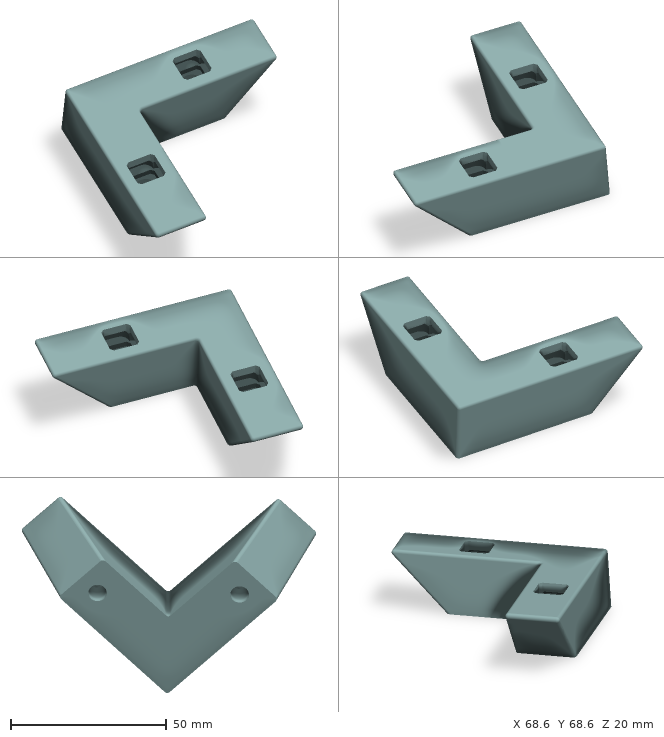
import cadquery as cq
import math

overall_length = 68.6
height = 20.0
leg_width = 19.95
wall_lean = 1.0
end_angle = 45
edge_radius = 1.0

hole_distance = 42.3
hole_diameter = 6.0
countersink_diameter = 8.0

pocket_size = 10.0
pocket_depth = 10.0
pocket_corner_chamfer = 1.0

undercut_top = 3.0
undercut_bottom = 8.0
cross_width = pocket_size
cross_corner_radius = 3.0
cross_length = cross_width + 2 * cross_corner_radius
ceiling_chamfer = 1.5

tip_loss = edge_radius * (1 / math.tan(math.radians(end_angle / 2)) - 1)
sharp_length = overall_length + tip_loss
bottom_length = sharp_length - height / math.tan(math.radians(end_angle))


def corner_outline(inset):
    """Return the L outline, longer than the finished legs, with its long walls moved inward."""
    stock_length = sharp_length + leg_width
    outer = inset
    inner = leg_width - inset
    return [
        (outer, outer),
        (stock_length, outer),
        (stock_length, inner),
        (inner, inner),
        (inner, stock_length),
        (outer, stock_length),
    ]


def leaning_corner():
    """Return the L stock whose long walls lean inward toward the top."""
    return (
        cq.Workplane("XY")
        .polyline(corner_outline(0))
        .close()
        .workplane(offset=height)
        .polyline(corner_outline(wall_lean))
        .close()
        .loft(ruled=True)
    )


def end_limit(plane):
    """Return a wide block that ends in the sloped overhang of one leg."""
    profile = [(0, 0), (bottom_length, 0), (sharp_length, height), (0, height)]
    return cq.Workplane(plane).polyline(profile).close().extrude(sharp_length, both=True)


def square_pocket(x, y):
    """Return the square pocket with chamfered corners."""
    return (
        cq.Workplane("XY", origin=(x, y, height - pocket_depth))
        .rect(pocket_size, pocket_size)
        .extrude(pocket_depth)
        .edges("|Z")
        .chamfer(pocket_corner_chamfer)
    )


def cross_undercut(x, y):
    """Return the cross with rounded arms that undercuts the pocket walls."""
    cross = cq.Workplane("XY")
    for size_x, size_y in [(cross_length, cross_width), (cross_width, cross_length)]:
        arm = (
            cq.Workplane("XY", origin=(x, y, height - undercut_bottom))
            .rect(size_x, size_y)
            .extrude(undercut_bottom - undercut_top)
            .edges("|Z")
            .fillet(cross_corner_radius)
            .faces(">Z")
            .chamfer(ceiling_chamfer)
        )
        cross = cross.union(arm)
    return cross


def countersunk_hole(x, y):
    """Return the hole from the pocket floor through the bottom, with a 45 degree countersink."""
    pocket_floor = height - pocket_depth
    countersink_depth = (countersink_diameter - hole_diameter) / 2
    hole = cq.Workplane("XY", origin=(x, y, 0)).circle(hole_diameter / 2).extrude(pocket_floor)
    countersink = (
        cq.Workplane("XY", origin=(x, y, pocket_floor - countersink_depth))
        .circle(hole_diameter / 2)
        .workplane(offset=countersink_depth)
        .circle(countersink_diameter / 2)
        .loft()
    )
    return hole.union(countersink)


bracket = leaning_corner().intersect(end_limit("XZ")).intersect(end_limit("YZ"))

bracket = bracket.edges("not(<Z)").fillet(edge_radius)

leg_middle = leg_width / 2
for x, y in [(hole_distance, leg_middle), (leg_middle, hole_distance)]:
    bracket = bracket.cut(square_pocket(x, y))
    bracket = bracket.cut(cross_undercut(x, y))
    bracket = bracket.cut(countersunk_hole(x, y))

result = bracket